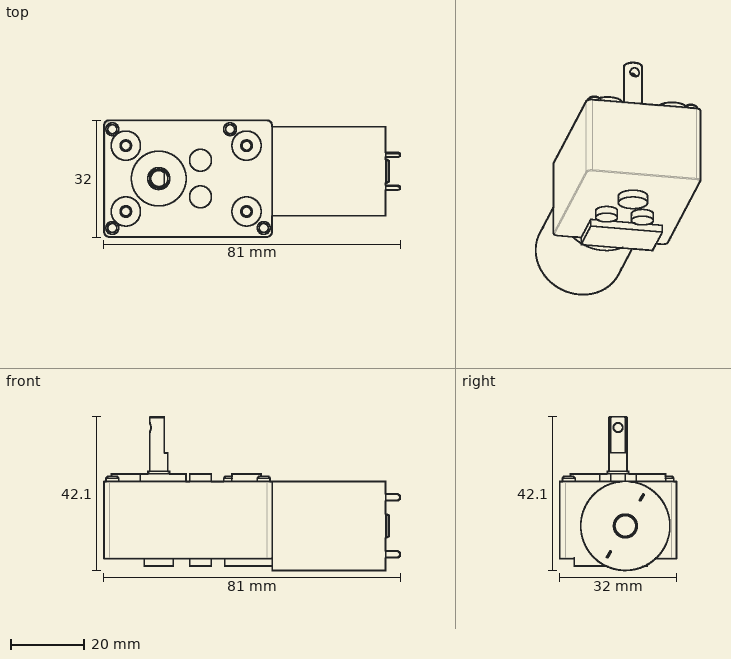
import cadquery as cq
import math


BOX_LENGTH = 46.0
BOX_WIDTH = 32.0
BOX_HEIGHT = 21.2
BOX_CORNER_RADIUS = 1.5
BOX_EDGE_RADIUS = 0.25

BOSS_HEIGHT = 2.0
BEARING_BOSS_DIAMETER = 15.0
LOWER_BEARING_BOSS_DIAMETER = 8.0
GEAR_BOSS_DIAMETER = 6.0
GEAR_AXIS_X = 26.4
GEAR_AXIS_OFFSET_Y = 5.0

MOUNT_BOSS_DIAMETER = 8.0
MOUNT_FIRST_X = 6.0
MOUNT_SPACING_X = 33.0
MOUNT_SPACING_Y = 18.0
MOUNT_HOLE_DIAMETER = 2.5
MOUNT_HOLE_DEPTH = 8.0
MOUNT_HOLE_CHAMFER = 0.3
DRILL_POINT_ANGLE = 118.0

SCREW_HEAD_DIAMETER = 3.5
SCREW_HEAD_HEIGHT = 1.4
SCREW_TOP_DIAMETER = 2.46
SCREW_BEVEL_HEIGHT = 0.5
SCREW_INSET_X = 2.3
SCREW_INSET_Y = 2.5
THIRD_SCREW_X = 34.5

SHAFT_X = 15.0
SHAFT_DIAMETER = 5.0
SHAFT_TOP_Z = 17.7
SHAFT_CHAMFER = 0.3
SHAFT_FLAT_OFFSET = 1.5
SHAFT_FLAT_BOTTOM_Z = 7.8
SHAFT_COLLAR_DIAMETER = 6.0
SHAFT_COLLAR_HEIGHT = 0.7
CROSS_HOLE_DIAMETER = 2.5
CROSS_HOLE_Z = 14.7

PAD_START_X = 33.0
PAD_MIN_Y = -12.0
PAD_MAX_Y = 8.0

MOTOR_DIAMETER = 24.4
MOTOR_LENGTH = 31.0
MOTOR_Y = 2.0
MOTOR_Z = -MOTOR_DIAMETER / 2
MOTOR_END_X = BOX_LENGTH + MOTOR_LENGTH
MOTOR_BOSS_DIAMETER = 6.5
MOTOR_BOSS_HEIGHT = 1.0
MOTOR_BOSS_TOP_DIAMETER = 5.7
MOTOR_BOSS_BEVEL_HEIGHT = 0.7

TERMINAL_LENGTH = 4.0
TERMINAL_WIDTH = 2.0
TERMINAL_THICKNESS = 0.4
TERMINAL_TIP_WIDTH = 0.8
TERMINAL_TIP_LENGTH = 0.6
TERMINAL_RADIUS = 9.0
TERMINAL_ANGLE = 60.0

OVERLAP = 1.0


def disc(diameter, x, y, z_bottom, z_top):
    """Upright cylinder between two heights."""
    height = z_top - z_bottom
    return cq.Workplane("XY", origin=(x, y, z_bottom)).circle(diameter / 2).extrude(height)


def bevel(plane, base_diameter, top_diameter, height):
    """Cone frustum rising from a workplane."""
    rim_width = (base_diameter - top_diameter) / 2
    taper_angle = math.degrees(math.atan2(rim_width, height))
    return plane.circle(base_diameter / 2).extrude(height, taper=taper_angle)


def top_boss(diameter, x, y):
    """Boss rising from the top face."""
    return disc(diameter, x, y, -OVERLAP, BOSS_HEIGHT)


def bottom_boss(diameter, x, y):
    """Boss hanging from the bottom face."""
    return disc(diameter, x, y, -BOX_HEIGHT - BOSS_HEIGHT, -BOX_HEIGHT + OVERLAP)


def block(x_range, y_range, z_range):
    """Axis-aligned box given by its limits."""
    sizes = [high - low for low, high in (x_range, y_range, z_range)]
    corner = (x_range[0], y_range[0], z_range[0])
    return cq.Workplane("XY").box(*sizes, centered=False).translate(corner)


def housing():
    half_width = BOX_WIDTH / 2
    body = block((0, BOX_LENGTH), (-half_width, half_width), (-BOX_HEIGHT, 0))
    body = body.edges("|Z").fillet(BOX_CORNER_RADIUS)
    return body.faces("<Z or >Z").edges().fillet(BOX_EDGE_RADIUS)


def motor_pad():
    """Rectangular pad under the housing, flush with its motor end."""
    return block(
        (PAD_START_X, BOX_LENGTH),
        (PAD_MIN_Y, PAD_MAX_Y),
        (-BOX_HEIGHT - BOSS_HEIGHT, -BOX_HEIGHT + OVERLAP),
    )


def mount_points():
    return [
        (MOUNT_FIRST_X + column * MOUNT_SPACING_X, side * MOUNT_SPACING_Y / 2)
        for column in (0, 1)
        for side in (-1, 1)
    ]


def mount_hole(x, y):
    """Blind hole with a chamfered mouth and a conical bottom."""
    radius = MOUNT_HOLE_DIAMETER / 2
    bottom_z = BOSS_HEIGHT - MOUNT_HOLE_DEPTH
    point_depth = radius / math.tan(math.radians(DRILL_POINT_ANGLE / 2))
    profile = (
        cq.Workplane("XZ")
        .moveTo(0, BOSS_HEIGHT)
        .lineTo(radius + MOUNT_HOLE_CHAMFER, BOSS_HEIGHT)
        .lineTo(radius, BOSS_HEIGHT - MOUNT_HOLE_CHAMFER)
        .lineTo(radius, bottom_z)
        .lineTo(0, bottom_z - point_depth)
        .close()
    )
    return profile.revolve(360, (0, 0), (0, 1)).translate((x, y, 0))


def screw_head(x, y):
    """Round head with a bevelled rim."""
    bevel_bottom_z = SCREW_HEAD_HEIGHT - SCREW_BEVEL_HEIGHT
    base = disc(SCREW_HEAD_DIAMETER, x, y, -OVERLAP, bevel_bottom_z)
    plane = cq.Workplane("XY", origin=(x, y, bevel_bottom_z))
    return base.union(bevel(plane, SCREW_HEAD_DIAMETER, SCREW_TOP_DIAMETER, SCREW_BEVEL_HEIGHT))


def screw_points():
    side_y = BOX_WIDTH / 2 - SCREW_INSET_Y
    return [
        (SCREW_INSET_X, -side_y),
        (SCREW_INSET_X, side_y),
        (BOX_LENGTH - SCREW_INSET_X, -side_y),
        (THIRD_SCREW_X, side_y),
    ]


def output_shaft():
    """Shaft with a base collar, a D flat facing +X and a cross hole along X."""
    shaft = disc(SHAFT_DIAMETER, SHAFT_X, 0, -OVERLAP, SHAFT_TOP_Z).faces(">Z").chamfer(SHAFT_CHAMFER)
    flat_x = SHAFT_X + SHAFT_FLAT_OFFSET
    flat_cut = block(
        (flat_x, SHAFT_X + SHAFT_DIAMETER),
        (-SHAFT_DIAMETER, SHAFT_DIAMETER),
        (SHAFT_FLAT_BOTTOM_Z, SHAFT_TOP_Z + OVERLAP),
    )
    cross_hole = (
        cq.Workplane("YZ", origin=(SHAFT_X, 0, CROSS_HOLE_Z))
        .circle(CROSS_HOLE_DIAMETER / 2)
        .extrude(SHAFT_DIAMETER, both=True)
    )
    collar_top = BOSS_HEIGHT + SHAFT_COLLAR_HEIGHT
    collar = disc(SHAFT_COLLAR_DIAMETER, SHAFT_X, 0, -OVERLAP, collar_top)
    return shaft.cut(flat_cut).cut(cross_hole).union(collar)


def motor_plane(x):
    """Workplane facing +X, centred on the motor axis."""
    return cq.Workplane("YZ", origin=(x, MOTOR_Y, MOTOR_Z))


def motor_boss():
    """Round boss with a bevelled rim on the motor end."""
    base_start_x = MOTOR_END_X - OVERLAP
    bevel_start_x = MOTOR_END_X + MOTOR_BOSS_HEIGHT - MOTOR_BOSS_BEVEL_HEIGHT
    base = motor_plane(base_start_x).circle(MOTOR_BOSS_DIAMETER / 2).extrude(bevel_start_x - base_start_x)
    rim = bevel(
        motor_plane(bevel_start_x),
        MOTOR_BOSS_DIAMETER,
        MOTOR_BOSS_TOP_DIAMETER,
        MOTOR_BOSS_BEVEL_HEIGHT,
    )
    return base.union(rim)


def terminal(side):
    """Blade with a tapered tip, its width lying along the terminal diameter."""
    half_width = TERMINAL_WIDTH / 2
    half_tip = TERMINAL_TIP_WIDTH / 2
    tip_x = MOTOR_END_X + TERMINAL_LENGTH
    taper_x = tip_x - TERMINAL_TIP_LENGTH
    outline = [
        (MOTOR_END_X - OVERLAP, -half_width),
        (taper_x, -half_width),
        (tip_x, -half_tip),
        (tip_x, half_tip),
        (taper_x, half_width),
        (MOTOR_END_X - OVERLAP, half_width),
    ]
    blade = cq.Workplane("XY").polyline(outline).close().extrude(TERMINAL_THICKNESS / 2, both=True)
    blade = blade.translate((0, side * TERMINAL_RADIUS, 0))
    blade = blade.rotate((0, 0, 0), (1, 0, 0), TERMINAL_ANGLE)
    return blade.translate((0, MOTOR_Y, MOTOR_Z))


def motor():
    body = motor_plane(BOX_LENGTH).circle(MOTOR_DIAMETER / 2).extrude(MOTOR_LENGTH)
    return body.union(motor_boss()).union(terminal(-1)).union(terminal(1))


def gearmotor():
    body = housing().union(motor())
    body = body.union(top_boss(BEARING_BOSS_DIAMETER, SHAFT_X, 0))
    body = body.union(bottom_boss(LOWER_BEARING_BOSS_DIAMETER, SHAFT_X, 0))
    for gear_y in (-GEAR_AXIS_OFFSET_Y, GEAR_AXIS_OFFSET_Y):
        body = body.union(top_boss(GEAR_BOSS_DIAMETER, GEAR_AXIS_X, gear_y))
        body = body.union(bottom_boss(GEAR_BOSS_DIAMETER, GEAR_AXIS_X, gear_y))
    body = body.union(motor_pad())
    for x, y in mount_points():
        body = body.union(top_boss(MOUNT_BOSS_DIAMETER, x, y)).cut(mount_hole(x, y))
    for x, y in screw_points():
        body = body.union(screw_head(x, y))
    return body.union(output_shaft())


result = gearmotor()